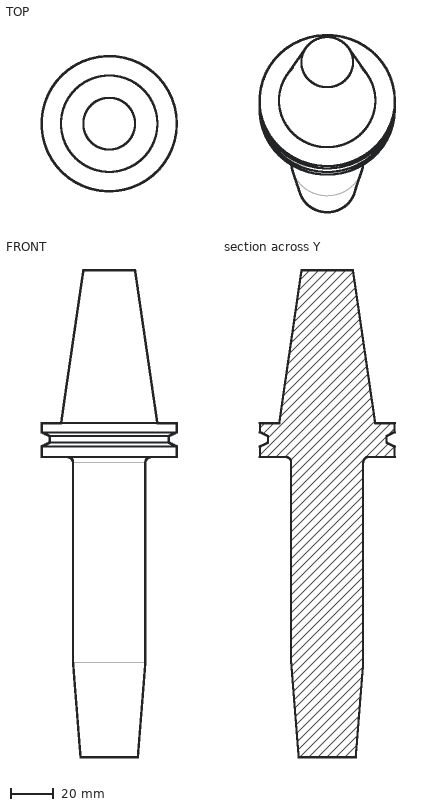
import cadquery as cq

total_height = 228.5

shank_height = 71.7
shank_base_diameter = 45.2
shank_taper = 7 / 24

flange_diameter = 63.5
flange_height = 16.0
groove_diameter = 56.0
upper_rim_height = 4.3
groove_side_height = 1.8
groove_floor_height = 3.0

body_diameter = 34.0
body_fillet = 2.5
nose_height = 44.5
nose_end_diameter = 27.0

shank_base_radius = shank_base_diameter / 2
tip_radius = shank_base_radius - shank_taper * shank_height / 2
flange_radius = flange_diameter / 2
groove_radius = groove_diameter / 2
body_radius = body_diameter / 2
nose_end_radius = nose_end_diameter / 2

flange_top = total_height - shank_height
flange_bottom = flange_top - flange_height
groove_top = flange_top - upper_rim_height
floor_top = groove_top - groove_side_height
floor_bottom = floor_top - groove_floor_height
groove_bottom = floor_bottom - groove_side_height

profile = (
    cq.Workplane("XZ")
    .moveTo(0, 0)
    .lineTo(nose_end_radius, 0)
    .lineTo(body_radius, nose_height)
    .lineTo(body_radius, flange_bottom - body_fillet)
    .radiusArc((body_radius + body_fillet, flange_bottom), body_fillet)
    .lineTo(flange_radius, flange_bottom)
    .lineTo(flange_radius, groove_bottom)
    .lineTo(groove_radius, floor_bottom)
    .lineTo(groove_radius, floor_top)
    .lineTo(flange_radius, groove_top)
    .lineTo(flange_radius, flange_top)
    .lineTo(shank_base_radius, flange_top)
    .lineTo(tip_radius, total_height)
    .lineTo(0, total_height)
    .close()
)

result = profile.revolve(360, (0, 0, 0), (0, 1, 0))